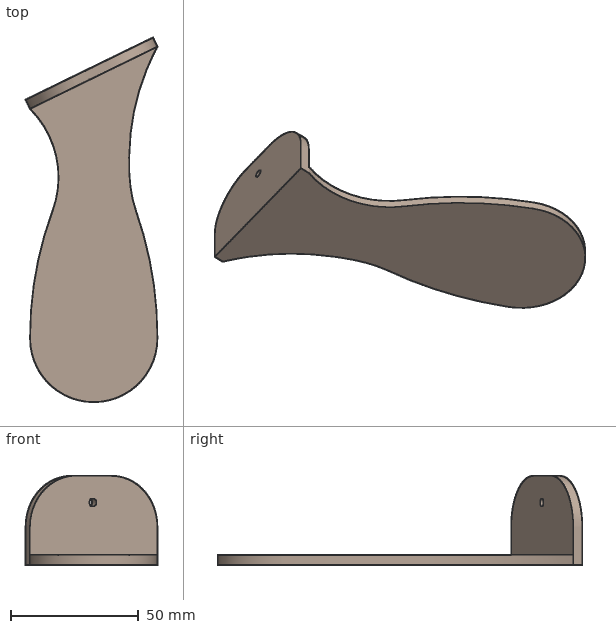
import cadquery as cq
import math

THICKNESS = 4.0
PADDLE_RADIUS = 25.0
STRAIGHT_LENGTH = 0.8
PLATE_ANGLE = 26.0
PLATE_LEFT_Y = 90.0
PLATE_HEIGHT = 35.0
PLATE_CORNER_RADIUS = 20.0
HOLE_DIAMETER = 3.0
HOLE_FROM_LEFT = 27.5
HOLE_HEIGHT = 24.5

LEFT_INFLECTION = (-16.2, 50.0)
RIGHT_INFLECTION = (16.6, 50.0)
RIGHT_WAIST = (13.9, 69.0)

plate_length = 2 * PADDLE_RADIUS / math.cos(math.radians(PLATE_ANGLE))
plate_rise = 2 * PADDLE_RADIUS * math.tan(math.radians(PLATE_ANGLE))
left_corner = (-PADDLE_RADIUS, PLATE_LEFT_Y)
right_corner = (PADDLE_RADIUS, PLATE_LEFT_Y + plate_rise)


def tangent_arc(start, heading, end):
    """Middle point and final heading (radians) of the arc leaving start at a heading and reaching end."""
    dx = end[0] - start[0]
    dy = end[1] - start[1]
    half_turn = math.atan2(dy, dx) - heading
    rise = math.tan(half_turn / 2) / 2
    middle = (start[0] + dx / 2 + dy * rise, start[1] + dy / 2 - dx * rise)
    return middle, heading + 2 * half_turn


def make_paddle():
    """Flat paddle with a round end and a narrow waist, ending on the plate's inner face."""
    left_start = (-PADDLE_RADIUS, STRAIGHT_LENGTH)
    right_start = (PADDLE_RADIUS, STRAIGHT_LENGTH)
    left_bulge, left_heading = tangent_arc(left_start, math.pi / 2, LEFT_INFLECTION)
    left_waist, _ = tangent_arc(LEFT_INFLECTION, left_heading, left_corner)
    right_bulge, right_heading = tangent_arc(right_start, math.pi / 2, RIGHT_INFLECTION)
    right_tangents = [(math.cos(right_heading), math.sin(right_heading)), (0, 1), None]
    return (
        cq.Workplane("XY")
        .moveTo(-PADDLE_RADIUS, 0)
        .threePointArc((0, -PADDLE_RADIUS), (PADDLE_RADIUS, 0))
        .lineTo(*right_start)
        .threePointArc(right_bulge, RIGHT_INFLECTION)
        .spline([RIGHT_WAIST, right_corner], tangents=right_tangents, includeCurrent=True)
        .lineTo(*left_corner)
        .threePointArc(left_waist, LEFT_INFLECTION)
        .threePointArc(left_bulge, left_start)
        .close()
        .extrude(THICKNESS)
    )


def make_end_plate():
    """Upright plate with two rounded top corners and a through hole."""
    plate = (
        cq.Workplane("XY")
        .box(plate_length, THICKNESS, PLATE_HEIGHT, centered=False)
        .edges("|Y and >Z")
        .fillet(PLATE_CORNER_RADIUS)
    )
    hole = (
        cq.Workplane("XZ")
        .center(HOLE_FROM_LEFT, HOLE_HEIGHT)
        .circle(HOLE_DIAMETER / 2)
        .extrude(-THICKNESS)
    )
    turned = plate.cut(hole).rotate((0, 0, 0), (0, 0, 1), PLATE_ANGLE)
    return turned.translate((*left_corner, 0))


result = make_paddle().union(make_end_plate())